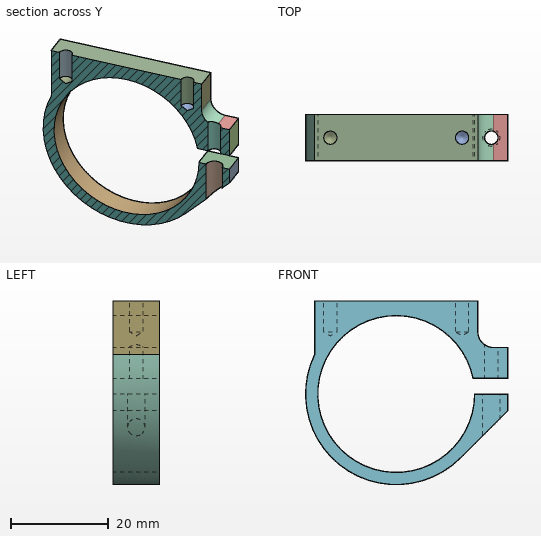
import cadquery as cq
import math

width = 9.525
bore_radius = 16.0
outer_radius = 18.54

block_top = 19.05
block_half_length = 16.7

ear_end = 22.83
ear_top = 9.525
slot_bottom = 0.0
slot_height = 3.175
relief_radius = 3.175

tap_diameter = 2.7
clearance_diameter = 3.5
mount_hole_offset = 13.47
mount_hole_depth = 6.35
drill_point_angle = 118.0
clamp_hole_x = 19.43

tangent_offset = outer_radius / math.sqrt(2)
ear_bottom = ear_end - outer_radius * math.sqrt(2)


def extrude_across_width(sketch):
    return sketch.extrude(width / 2, both=True)


def make_body():
    """Ring outline with the mounting block and ears, still without bore or slot."""
    block_meets_ring = math.sqrt(outer_radius**2 - block_half_length**2)
    outline = (
        cq.Workplane("XZ")
        .moveTo(-block_half_length, block_meets_ring)
        .lineTo(-block_half_length, block_top)
        .lineTo(block_half_length, block_top)
        .lineTo(block_half_length, ear_top + relief_radius)
        .radiusArc((block_half_length + relief_radius, ear_top), -relief_radius)
        .lineTo(ear_end, ear_top)
        .lineTo(ear_end, ear_bottom)
        .lineTo(tangent_offset, -tangent_offset)
        .threePointArc((-tangent_offset, -tangent_offset), (-block_half_length, block_meets_ring))
        .close()
    )
    return extrude_across_width(outline)


def make_bore():
    return extrude_across_width(cq.Workplane("XZ").circle(bore_radius))


def make_slot():
    """Gap from the bore axis out through the end of the ears."""
    slot = cq.Workplane("XY").box(ear_end, width, slot_height, centered=(False, True, False))
    return slot.translate((0, 0, slot_bottom))


def make_mount_hole(x):
    """Blind drilled hole with a conical bottom, entering from the block top."""
    radius = tap_diameter / 2
    point_depth = radius / math.tan(math.radians(drill_point_angle / 2))
    floor = block_top - mount_hole_depth
    return (
        cq.Workplane("XZ")
        .moveTo(0, block_top)
        .lineTo(radius, block_top)
        .lineTo(radius, floor)
        .lineTo(0, floor - point_depth)
        .close()
        .revolve(360, (0, 0), (0, 1))
        .translate((x, 0, 0))
    )


def make_clamp_hole(diameter, bottom, top):
    """Round screw hole through one ear, from bottom to top."""
    return (
        cq.Workplane("XY")
        .workplane(offset=bottom)
        .center(clamp_hole_x, 0)
        .circle(diameter / 2)
        .extrude(top - bottom)
    )


result = make_body().cut(make_bore()).cut(make_slot())

result = result.cut(make_clamp_hole(tap_diameter, slot_bottom, block_top))
result = result.cut(make_clamp_hole(clearance_diameter, -outer_radius, slot_bottom))

for hole_x in (-mount_hole_offset, mount_hole_offset):
    result = result.cut(make_mount_hole(hole_x))